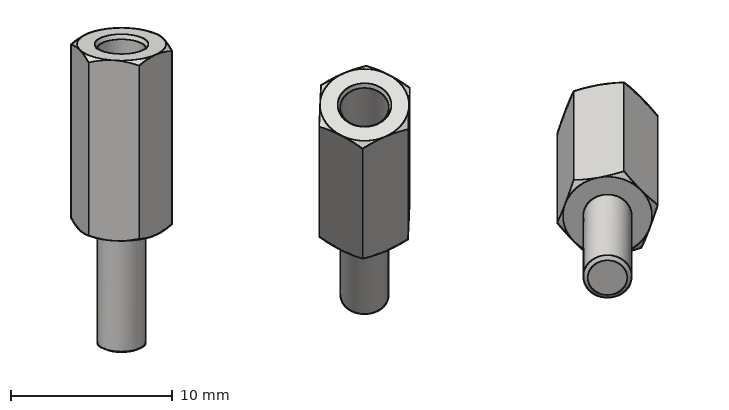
import cadquery as cq
import math

across_flats = 5.5
body_length = 12
corner_chamfer_angle = 30

total_length = 20
stud_length = total_length - body_length
stud_diameter = 3
stud_chamfer_height = 0.15
stud_chamfer_width = 0.28

hole_diameter = 3
hole_depth = 8
hole_tip_angle = 118
hole_mouth_diameter = 3.32
countersink_angle = 60

corner_radius = across_flats / math.sqrt(3)
body_top = total_length


def make_body():
    """Hexagonal prism with corners along X, turned to a cone at both ends."""
    hexagon = (
        cq.Workplane("XY")
        .workplane(offset=stud_length)
        .polygon(6, 2 * corner_radius)
        .extrude(body_length)
    )
    flat_radius = across_flats / 2
    chamfer_height = (corner_radius - flat_radius) * math.tan(math.radians(corner_chamfer_angle))
    turned_envelope = (
        cq.Workplane("XZ")
        .moveTo(0, stud_length)
        .lineTo(flat_radius, stud_length)
        .lineTo(corner_radius, stud_length + chamfer_height)
        .lineTo(corner_radius, body_top - chamfer_height)
        .lineTo(flat_radius, body_top)
        .lineTo(0, body_top)
        .close()
        .revolve(360, (0, 0), (0, 1))
    )
    return hexagon.intersect(turned_envelope)


def make_stud():
    """Round pin with a chamfered lower end."""
    return (
        cq.Workplane("XY")
        .circle(stud_diameter / 2)
        .extrude(stud_length)
        .faces("<Z")
        .chamfer(stud_chamfer_height, stud_chamfer_width)
    )


def make_hole():
    """Drilled hole with a countersunk mouth and a conical bottom."""
    radius = hole_diameter / 2
    mouth_radius = hole_mouth_diameter / 2
    countersink_depth = (mouth_radius - radius) / math.tan(math.radians(countersink_angle / 2))
    hole_bottom = body_top - hole_depth
    tip_height = radius / math.tan(math.radians(hole_tip_angle / 2))
    return (
        cq.Workplane("XZ")
        .moveTo(0, hole_bottom - tip_height)
        .lineTo(radius, hole_bottom)
        .lineTo(radius, body_top - countersink_depth)
        .lineTo(mouth_radius, body_top)
        .lineTo(0, body_top)
        .close()
        .revolve(360, (0, 0), (0, 1))
    )


result = make_body().union(make_stud()).cut(make_hole())